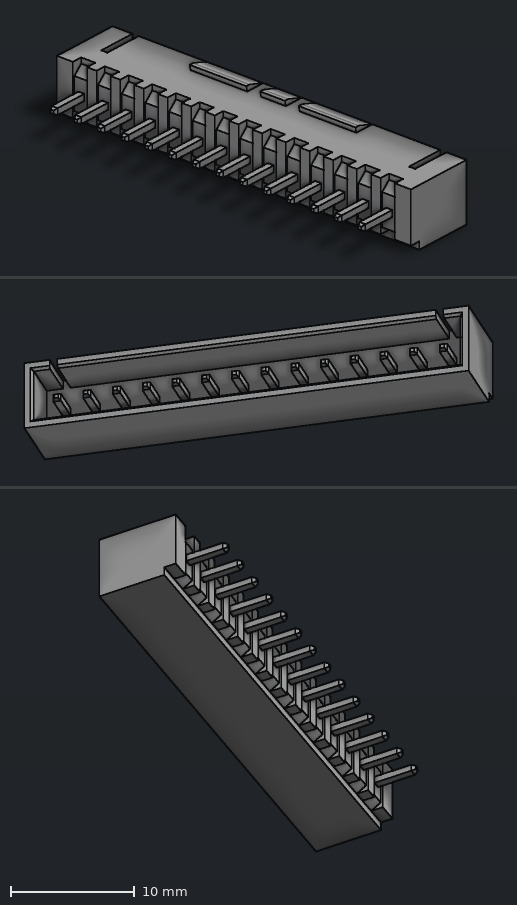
import cadquery as cq


body_length = 37.4
body_depth = 7.0
body_height = 5.87
step_depth = 1.05
step_height = 0.8

wall = 0.75
cavity_depth = 3.93
mouth_chamfer = 0.22

pin_count = 14
pitch = 2.5002
pin_size = 0.65
pin_reach = 3.5
pin_setback = 0.8
tip_length = 0.35
tip_size = 0.35
pin_z = body_height / 2
pin_xs = [(i - (pin_count - 1) / 2) * pitch for i in range(pin_count)]

recess_width = 1.5
recess_depth = 0.2
recess_lip = 0.55
upper_slope_height = 0.8
lower_slope_height = 0.55

ridge_height = 0.52
ridge_depth = 2.15
ridge_crest = 0.45
ridge_undercut = 0.1
outer_ridge_x = 5.75
outer_ridge_length = 6.0
middle_ridge_length = 2.6


def extrude_along_x(points, length, x_center):
    """Extrude a closed (y, z) outline along X, centred on x_center."""
    profile = cq.Workplane("YZ", origin=(x_center, 0, 0)).polyline(points).close()
    return profile.extrude(length / 2, both=True)


def make_housing():
    """Block with a step along its lower -Y edge."""
    outline = [
        (0, step_height),
        (step_depth, step_height),
        (step_depth, 0),
        (body_depth, 0),
        (body_depth, body_height),
        (0, body_height),
    ]
    return extrude_along_x(outline, body_length, 0)


def make_cavity():
    """Mating cavity with a lead-in flare around its mouth."""
    width = body_length - 2 * wall
    height = body_height - 2 * wall
    mouth = cq.Workplane("XZ", origin=(0, body_depth, body_height / 2))
    cavity = mouth.rect(width, height).extrude(cavity_depth)
    flare = (
        mouth.rect(width + 2 * mouth_chamfer, height + 2 * mouth_chamfer)
        .workplane(offset=mouth_chamfer)
        .rect(width, height)
        .loft()
    )
    return cavity.union(flare)


def make_slot(x):
    """Slot through the top wall into the cavity, open at the mouth."""
    slot = cq.Workplane("XY").box(pin_size, cavity_depth, wall, centered=(True, False, False))
    return slot.translate((x, body_depth - cavity_depth, body_height - wall))


def make_recess(x):
    """Recess whose wall slopes inward at its top and bottom to the depth of the step."""
    slope_top = body_height - recess_lip
    outline = [
        (0, step_height),
        (step_depth, step_height),
        (recess_depth, step_height + lower_slope_height),
        (recess_depth, slope_top - upper_slope_height),
        (step_depth, slope_top),
        (step_depth, body_height),
        (0, body_height),
    ]
    return extrude_along_x(outline, recess_width, x)


def make_ridge(x, length):
    """Ramp rising from the mating face to a crest, with an undercut latching face."""
    front = body_depth - ridge_depth
    top = body_height + ridge_height
    outline = [
        (body_depth, body_height),
        (front + ridge_crest, top),
        (front, top),
        (front + ridge_undercut, body_height),
    ]
    return extrude_along_x(outline, length, x)


def make_pin(x):
    """Square pin tapered at both ends."""
    shaft_start = tip_length - pin_reach
    shaft_end = body_depth - pin_setback - tip_length
    start = cq.Workplane("XZ", origin=(x, shaft_start, pin_z))
    end = cq.Workplane("XZ", origin=(x, shaft_end, pin_z))
    shaft = start.rect(pin_size, pin_size).extrude(shaft_start - shaft_end)
    outer_tip = start.rect(pin_size, pin_size).workplane(offset=tip_length).rect(tip_size, tip_size).loft()
    inner_tip = end.rect(pin_size, pin_size).workplane(offset=-tip_length).rect(tip_size, tip_size).loft()
    return shaft.union(outer_tip).union(inner_tip)


result = make_housing().cut(make_cavity())

for slot_x in (pin_xs[0], pin_xs[-1]):
    result = result.cut(make_slot(slot_x))

for pin_x in pin_xs:
    result = result.cut(make_recess(pin_x))

result = result.union(make_ridge(0, middle_ridge_length))
for side in (-1, 1):
    result = result.union(make_ridge(side * outer_ridge_x, outer_ridge_length))

for pin_x in pin_xs:
    result = result.union(make_pin(pin_x))